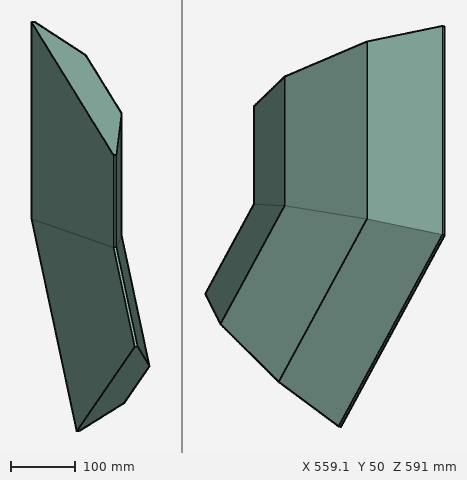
import cadquery as cq
import math

bend_angle = 45.0
width = 444.5
total_height = 591.0
depth = 50.0
rim = 5.0
bevel_run = 125.5

miter_angle = bend_angle / 2
outer_length = total_height / (1 + math.cos(math.radians(bend_angle)))
miter_rise = width * math.tan(math.radians(miter_angle))

front_y = -depth / 2
back_y = depth / 2
rim_y = front_y + rim


def make_upper_arm():
    """Bevelled bar standing along Z, cut along the miter at its foot."""
    bar = (
        cq.Workplane("XY")
        .polyline([
            (0, front_y),
            (width, front_y),
            (width, rim_y),
            (width - bevel_run, back_y),
            (bevel_run, back_y),
            (0, rim_y),
        ])
        .close()
        .extrude(outer_length)
    )
    below_miter = (
        cq.Workplane("XZ", origin=(0, back_y, 0))
        .polyline([(0, 0), (width, 0), (width, miter_rise)])
        .close()
        .extrude(depth)
    )
    return bar.cut(below_miter)


def mirror_across_miter(arm):
    """Reflect an arm in the sloping miter plane to get the other arm."""
    leveled = arm.rotate((0, 0, 0), (0, 1, 0), miter_angle)
    return leveled.mirror("XY").rotate((0, 0, 0), (0, 1, 0), -miter_angle)


upper_arm = make_upper_arm()
lower_arm = mirror_across_miter(upper_arm)
result = upper_arm.union(lower_arm, clean=False)